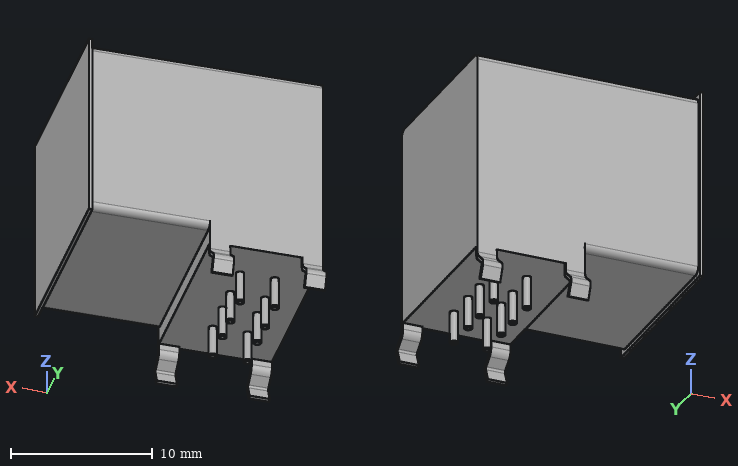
import cadquery as cq
import math

total_length = 17.3
total_width = 15.25
total_height = 18.5

flange_thickness = 0.25
flange_width = 13.91
flange_bottom = 3.88

shell_length = total_length - flange_thickness
shell_width = 13.3
shell_top = 18.22
shell_step = 4.25
shell_bottom = 2.89
rear_length = 8.3
shell_edge_radius = 0.5

pin_diameter = 0.6
pin_bottom = 0.4
pin_chamfer = 0.1
pin_rows = (2.65, 5.2)
pin_offsets = (1.0, 3.5)

leg_width = 1.5
leg_thickness = 0.25
upper_bend_z = 2.39
upper_bend_radius = 0.57
lower_bend_radius = 0.45
splay_angle = 50.0
tip_angle = 22.0


def block(x_start, length, width, z_bottom, z_top):
    """Box centred on Y, placed by its rear face and its bottom."""
    box = cq.Workplane("XY").box(length, width, z_top - z_bottom, centered=(False, True, False))
    return box.translate((x_start, 0, z_bottom))


def make_shell():
    upper = block(0, shell_length, shell_width, shell_step, shell_top)
    upper = upper.edges("|X").fillet(shell_edge_radius)
    rear_top = shell_step + shell_edge_radius
    rear = block(0, rear_length, shell_width, shell_bottom, rear_top)
    return upper.union(rear)


def make_flange():
    return block(shell_length, flange_thickness, flange_width, flange_bottom, total_height)


def make_pin(x, y):
    pin = (
        cq.Workplane("XY", origin=(x, y, pin_bottom))
        .circle(pin_diameter / 2)
        .extrude(shell_bottom - pin_bottom)
    )
    return pin.faces("<Z").chamfer(pin_chamfer)


def polar(center, radius, angle):
    """Point at a radius and an angle in degrees from a centre."""
    turn = math.radians(angle)
    return (center[0] + radius * math.cos(turn), center[1] + radius * math.sin(turn))


def make_leg(x_start):
    """Leg on the +Y side: straight down, splayed outwards, then bent back inwards."""
    outer_y = shell_width / 2
    inner_y = outer_y - leg_thickness
    splay = math.radians(splay_angle)
    tip = math.radians(tip_angle)

    upper_center = (outer_y + upper_bend_radius, upper_bend_z)
    lower_y = total_width / 2 - lower_bend_radius
    center_run = lower_y - upper_center[0]
    radius_sum = upper_bend_radius + lower_bend_radius
    center_drop = (radius_sum + center_run * math.cos(splay)) / math.sin(splay)
    lower_center = (lower_y, upper_bend_z - center_drop)

    upper_outer = upper_bend_radius
    upper_inner = upper_bend_radius + leg_thickness
    lower_outer = lower_bend_radius
    lower_inner = lower_bend_radius - leg_thickness
    upper_end = 180 + splay_angle
    upper_middle = 180 + splay_angle / 2
    lower_middle = (splay_angle - tip_angle) / 2

    tip_start = polar(lower_center, lower_outer, -tip_angle)
    tip_outer = (tip_start[0] - tip_start[1] * math.tan(tip), 0)
    tip_inner = polar(tip_outer, leg_thickness, 180 - tip_angle)

    profile = (
        cq.Workplane("YZ", origin=(x_start, 0, 0))
        .moveTo(inner_y, shell_bottom)
        .lineTo(outer_y, shell_bottom)
        .lineTo(outer_y, upper_bend_z)
        .threePointArc(
            polar(upper_center, upper_outer, upper_middle),
            polar(upper_center, upper_outer, upper_end),
        )
        .lineTo(*polar(lower_center, lower_outer, splay_angle))
        .threePointArc(polar(lower_center, lower_outer, lower_middle), tip_start)
        .lineTo(*tip_outer)
        .lineTo(*tip_inner)
        .lineTo(*polar(lower_center, lower_inner, -tip_angle))
        .threePointArc(
            polar(lower_center, lower_inner, lower_middle),
            polar(lower_center, lower_inner, splay_angle),
        )
        .lineTo(*polar(upper_center, upper_inner, upper_end))
        .threePointArc(polar(upper_center, upper_inner, upper_middle), (inner_y, upper_bend_z))
        .close()
    )
    return profile.extrude(leg_width)


result = make_shell().union(make_flange())

for row_x in pin_rows:
    for offset in pin_offsets:
        for side in (-1, 1):
            result = result.union(make_pin(row_x, side * offset))

for leg_start in (0, rear_length - leg_width):
    leg = make_leg(leg_start)
    result = result.union(leg).union(leg.mirror("XZ"))